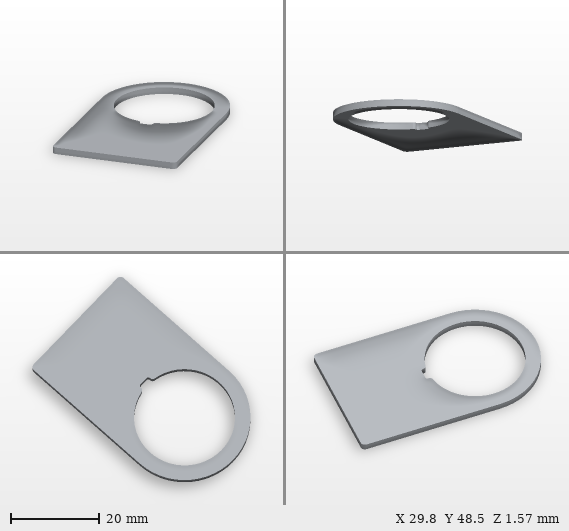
import cadquery as cq
import math

width = 29.84
length = 48.5
thickness = 1.57
corner_radius = 1.0

hole_radius = 11.425
notch_width = 3.1
notch_depth = 1.175
notch_floor_radius = 0.5
notch_mouth_radius = 0.7

end_radius = width / 2
square_end_y = end_radius - length
notch_floor_y = -(hole_radius + notch_depth)


def make_plate():
    """Rectangle closed by a half circle, with rounded corners at the square end."""
    plate = (
        cq.Workplane("XY")
        .moveTo(-end_radius, 0)
        .lineTo(-end_radius, square_end_y)
        .lineTo(end_radius, square_end_y)
        .lineTo(end_radius, 0)
        .threePointArc((0, end_radius), (-end_radius, 0))
        .close()
        .extrude(thickness)
    )
    return plate.edges("|Z and <Y").fillet(corner_radius)


def make_notch():
    """Block from the hole axis to the notch floor, rounded at the floor corners."""
    notch = (
        cq.Workplane("XY")
        .rect(notch_width, -notch_floor_y)
        .extrude(thickness)
        .translate((0, notch_floor_y / 2, 0))
    )
    return notch.edges("|Z and <Y").fillet(notch_floor_radius)


def round_notch_mouth(plate):
    """Round the two edges where the notch walls meet the hole."""
    mouth_y = -math.sqrt(hole_radius**2 - (notch_width / 2) ** 2)
    search_margin = notch_floor_radius / 2
    mouth_box = cq.selectors.BoxSelector(
        (-notch_width, mouth_y - search_margin, 0),
        (notch_width, mouth_y + search_margin, thickness),
    )
    return plate.edges("|Z").edges(mouth_box).fillet(notch_mouth_radius)


hole = cq.Workplane("XY").circle(hole_radius).extrude(thickness)
result = round_notch_mouth(make_plate().cut(hole.union(make_notch())))